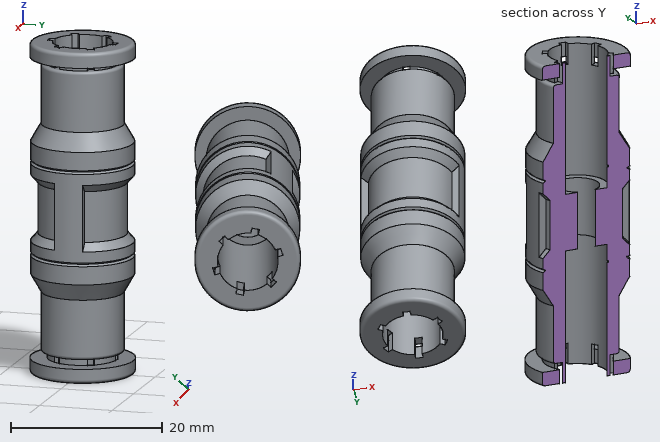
import cadquery as cq

LENGTH = 44.9
HALF_LENGTH = LENGTH / 2

COLLAR_RADIUS = 14.0 / 2
COLLAR_THICKNESS = 2.0
COLLAR_FILLET = 0.5
COLLAR_GAP = 0.9
SLEEVE_RADIUS = 9.4 / 2

SLOT_COUNT = 6
SLOT_WIDTH = 1.0
SLOT_FIRST_ANGLE = 30.0
SLOT_DEPTH = COLLAR_THICKNESS + COLLAR_GAP

NECK_RADIUS = 11.04 / 2
NECK_FILLET = 0.4
BODY_RADIUS = 13.8 / 2
NECK_TOP = HALF_LENGTH - COLLAR_THICKNESS - COLLAR_GAP
CONE_TOP = 11.4
CONE_BOTTOM = 9.0

GROOVE_HEIGHT = 6.27
GROOVE_WIDTH = 0.5
GROOVE_DEPTH = 0.35

RECESS_RADIUS = 5.95
RECESS_HALF_HEIGHT = 4.53
RECESS_FLOOR_HALF_HEIGHT = 3.45
RIB_WIDTH = 3.9

TUBE_RADIUS = 8.0 / 2
BORE_RADIUS = 5.8 / 2
STOP_HALF_LENGTH = 4.0


def cylinder(radius, bottom, top):
    """Cylinder on the Z axis between two heights."""
    return cq.Workplane("XY").workplane(offset=bottom).circle(radius).extrude(top - bottom)


def revolve_outline(points):
    """Revolve a closed (radius, height) outline about the Z axis."""
    return cq.Workplane("XZ").polyline(points).close().revolve(360, (0, 0, 0), (0, 1, 0))


def make_body():
    """Solid body with a shoulder cone and a rounded neck at each end."""
    body = revolve_outline([
        (0, -NECK_TOP),
        (NECK_RADIUS, -NECK_TOP),
        (NECK_RADIUS, -CONE_TOP),
        (BODY_RADIUS, -CONE_BOTTOM),
        (BODY_RADIUS, CONE_BOTTOM),
        (NECK_RADIUS, CONE_TOP),
        (NECK_RADIUS, NECK_TOP),
        (0, NECK_TOP),
    ])
    return body.faces("<Z or >Z").edges().fillet(NECK_FILLET)


def make_groove(height):
    """Ring of V section whose point lies inside the body."""
    return revolve_outline([
        (BODY_RADIUS, height - GROOVE_WIDTH / 2),
        (BODY_RADIUS - GROOVE_DEPTH, height),
        (BODY_RADIUS, height + GROOVE_WIDTH / 2),
    ])


def make_recesses():
    """Ring with sloped ends, interrupted by the two ribs."""
    ring = revolve_outline([
        (RECESS_RADIUS, -RECESS_FLOOR_HALF_HEIGHT),
        (BODY_RADIUS, -RECESS_HALF_HEIGHT),
        (BODY_RADIUS, RECESS_HALF_HEIGHT),
        (RECESS_RADIUS, RECESS_FLOOR_HALF_HEIGHT),
    ])
    ribs = cq.Workplane("XY").box(2 * BODY_RADIUS, RIB_WIDTH, 2 * RECESS_HALF_HEIGHT)
    return ring.cut(ribs)


def make_collar():
    """Upper collar with the exposed stretch of its sleeve."""
    disc = cylinder(COLLAR_RADIUS, HALF_LENGTH - COLLAR_THICKNESS, HALF_LENGTH)
    disc = disc.faces(">Z").edges().fillet(COLLAR_FILLET)
    return disc.union(cylinder(SLEEVE_RADIUS, NECK_TOP, HALF_LENGTH - COLLAR_THICKNESS))


def make_slots():
    """Radial slots through the upper collar, reaching down to the neck."""
    slots = cq.Workplane("XY")
    for index in range(SLOT_COUNT):
        slot = (
            cq.Workplane("XY")
            .workplane(offset=HALF_LENGTH - SLOT_DEPTH)
            .center(SLEEVE_RADIUS / 2, 0)
            .rect(SLEEVE_RADIUS, SLOT_WIDTH)
            .extrude(SLOT_DEPTH)
            .rotate((0, 0, 0), (0, 0, 1), SLOT_FIRST_ANGLE + index * 360 / SLOT_COUNT)
        )
        slots = slots.add(slot)
    return slots.combine()


result = make_body().cut(make_recesses())
for groove_height in (-GROOVE_HEIGHT, GROOVE_HEIGHT):
    result = result.cut(make_groove(groove_height))

collar = make_collar().cut(make_slots())
result = result.union(collar).union(collar.mirror("XY"))

tube_bore = cylinder(TUBE_RADIUS, STOP_HALF_LENGTH, HALF_LENGTH)
result = result.cut(tube_bore).cut(tube_bore.mirror("XY"))
result = result.cut(cylinder(BORE_RADIUS, -STOP_HALF_LENGTH, STOP_HALF_LENGTH))